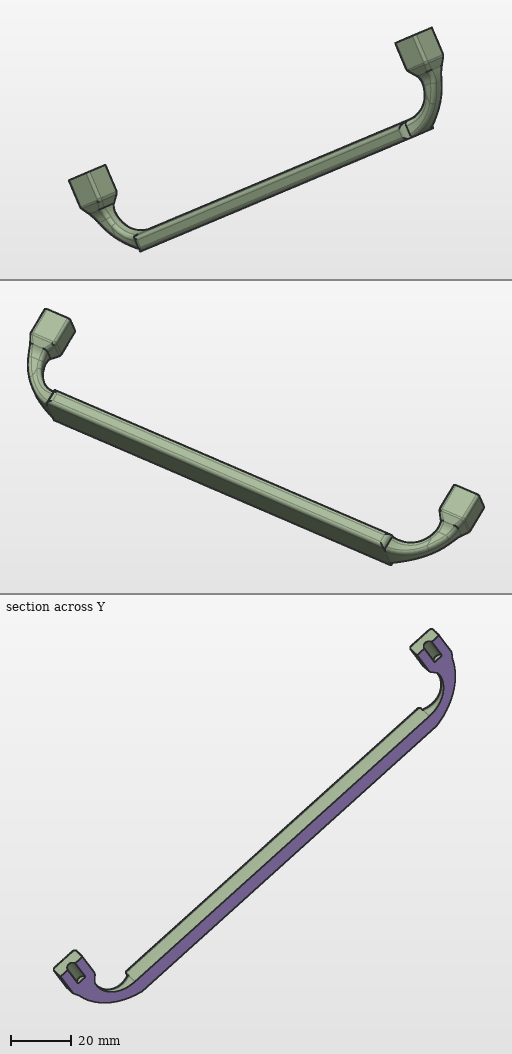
import cadquery as cq
import math

TILT = 30

POST_SPACING = 160.0
POST_SIZE = 10.0
POST_HEIGHT = 10.0
POST_ROUND = 1.0
HOLE_DIAMETER = 3.2
HOLE_DEPTH = 8.0

FOOT_BOTTOM = -12.9
FOOT_WIDTH = 7.7
JOINT_ROUND = 1.8
FOOT_OUTER_INSET = 1.2

GRIP_LENGTH = 132.2
GRIP_WIDTH = 15.0
GRIP_BOTTOM = -31.0
GRIP_THICKNESS = 5.8
CROWN_RADIUS = 50.0
EDGE_ROUND = 1.4
END_ROUND = 2.0

NECK_INNER_RADIUS = 10.9
NECK_OUTER_RADIUS = 24.6
NECK_WIDTH = 5.2
WAIST_X = 77.2
WAIST_Z = -16.8

grip_top = GRIP_BOTTOM + GRIP_THICKNESS
grip_end = GRIP_LENGTH / 2
post_x = POST_SPACING / 2
foot_outer = post_x + POST_SIZE / 2 - FOOT_OUTER_INSET
inner_center_z = grip_top + NECK_INNER_RADIUS
foot_inner = grip_end + math.sqrt(NECK_INNER_RADIUS**2 - (FOOT_BOTTOM - inner_center_z) ** 2)
foot_x = (foot_outer + foot_inner) / 2
half_waist = NECK_WIDTH / 2
half_grip = GRIP_WIDTH / 2
half_neck_root = half_grip - END_ROUND
crown_drop = CROWN_RADIUS - math.sqrt(CROWN_RADIUS**2 - half_grip**2)


def make_grip():
    """Bar with a gently crowned top and rounded long edges and end corners."""
    bar = (
        cq.Workplane("YZ", origin=(-grip_end, 0, 0))
        .moveTo(-half_grip, GRIP_BOTTOM)
        .lineTo(half_grip, GRIP_BOTTOM)
        .lineTo(half_grip, grip_top - crown_drop)
        .threePointArc((0, grip_top), (-half_grip, grip_top - crown_drop))
        .close()
        .extrude(GRIP_LENGTH)
        .edges("|X")
        .fillet(EDGE_ROUND)
    )
    plan = (
        cq.Workplane("XY", origin=(0, 0, GRIP_BOTTOM))
        .rect(GRIP_LENGTH, GRIP_WIDTH)
        .extrude(GRIP_THICKNESS)
        .edges("|Z")
        .fillet(END_ROUND)
    )
    return bar.intersect(plan)


def make_neck_side():
    """Neck as seen from the side, as wide as the grip, before its inner curve is cut."""
    return (
        cq.Workplane("XZ", origin=(0, half_grip, 0))
        .moveTo(grip_end, grip_top)
        .lineTo(grip_end, GRIP_BOTTOM)
        .radiusArc((foot_outer, FOOT_BOTTOM), -NECK_OUTER_RADIUS)
        .lineTo(foot_inner, FOOT_BOTTOM)
        .close()
        .extrude(GRIP_WIDTH)
    )


def make_inner_barrel():
    """Barrel whose crowned wall leaves the inner curve of the neck."""
    side_radius = NECK_INNER_RADIUS + crown_drop
    return (
        cq.Workplane("XY", origin=(grip_end, 0, inner_center_z))
        .moveTo(0, -half_grip)
        .lineTo(side_radius, -half_grip)
        .threePointArc((NECK_INNER_RADIUS, 0), (side_radius, half_grip))
        .lineTo(0, half_grip)
        .close()
        .revolve(360, (0, 0), (0, 1))
    )


def tangent_radius(length, offset):
    """Radius of an arc that starts along its length and drifts sideways by the offset."""
    return (length**2 + offset**2) / (2 * offset)


def make_neck_width():
    """Solid that narrows from the grip to the waist and widens again to the foot."""
    half_foot = FOOT_WIDTH / 2
    grip_radius = tangent_radius(WAIST_X - grip_end, half_neck_root - half_waist)
    foot_radius = tangent_radius(FOOT_BOTTOM - WAIST_Z, half_foot - half_waist)
    height = FOOT_BOTTOM - GRIP_BOTTOM
    grip_flare = (
        cq.Workplane("XY", origin=(0, 0, GRIP_BOTTOM))
        .moveTo(foot_outer, -half_waist)
        .lineTo(WAIST_X, -half_waist)
        .radiusArc((grip_end, -half_neck_root), -grip_radius)
        .lineTo(grip_end, half_neck_root)
        .radiusArc((WAIST_X, half_waist), -grip_radius)
        .lineTo(foot_outer, half_waist)
        .close()
        .extrude(height)
    )
    foot_flare = (
        cq.Workplane("YZ", origin=(grip_end, 0, 0))
        .moveTo(-half_waist, WAIST_Z)
        .radiusArc((-half_foot, FOOT_BOTTOM), -foot_radius)
        .lineTo(half_foot, FOOT_BOTTOM)
        .radiusArc((half_waist, WAIST_Z), -foot_radius)
        .close()
        .extrude(foot_outer - grip_end)
    )
    return grip_flare.union(foot_flare)


def make_neck():
    """Neck with its four long edges rounded."""
    neck = make_neck_side().cut(make_inner_barrel()).intersect(make_neck_width())
    return neck.edges("not (|X or |Y or |Z or <X or >Z)").fillet(EDGE_ROUND)


def make_post():
    """Square post with a tapered foot, a softened joint between them and a blind hole."""
    post = (
        cq.Workplane("XY")
        .center(post_x, 0)
        .rect(POST_SIZE, POST_SIZE)
        .extrude(-POST_HEIGHT)
        .edges("|Z")
        .fillet(POST_ROUND)
    )
    foot = cq.Workplane("XY").placeSketch(
        cq.Sketch().push([(post_x, 0)]).rect(POST_SIZE, POST_SIZE).reset().vertices().fillet(POST_ROUND)
        .moved(cq.Location(cq.Vector(0, 0, -POST_HEIGHT))),
        cq.Sketch().push([(foot_x, 0)]).rect(foot_outer - foot_inner, FOOT_WIDTH).reset()
        .vertices().fillet(EDGE_ROUND).moved(cq.Location(cq.Vector(0, 0, FOOT_BOTTOM))),
    ).loft()
    joint = cq.selectors.BoxSelector(
        (0, -POST_SIZE, -POST_HEIGHT - 0.2), (2 * post_x, POST_SIZE, -POST_HEIGHT + 0.2)
    )
    hole = cq.Workplane("XY").center(post_x, 0).circle(HOLE_DIAMETER / 2).extrude(-HOLE_DEPTH)
    return post.union(foot).edges(joint).fillet(JOINT_ROUND).cut(hole)


half_handle = make_post().union(make_neck())
handle = make_grip().union(half_handle).union(half_handle.mirror("YZ"))
result = handle.rotate((0, 0, 0), (0, 1, 0), -TILT)